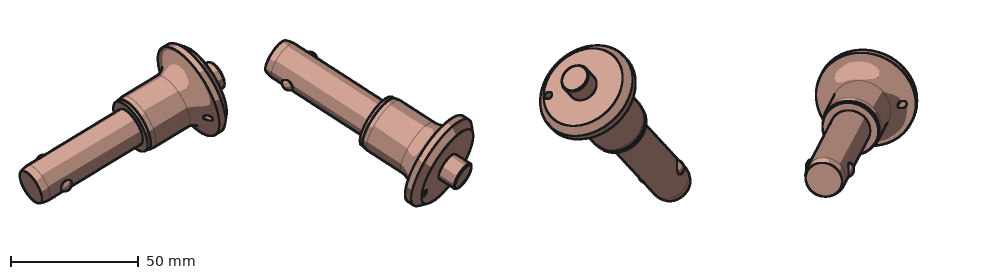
import cadquery as cq

length = 91.2

button_radius = 5.8
button_chamfer = 0.4

handle_start = 7.75
flange_diameter = 40.0
flange_radius = flange_diameter / 2
flange_chamfer = 2.9
flange_end = 13.7
body_radius = 11.8
flare_radius = flange_radius - body_radius
flare_end = flange_end + flare_radius
taper_start = 38.6
taper_end = 40.8
taper_end_radius = 11.4
collar_radius = 11.2
handle_end = 42.2

shank_radius = 8.0
tip_length = 3.4
tip_start = length - tip_length
tip_radius = 7.3
tip_bulge = 0.2
tip_middle = (tip_radius + shank_radius) / 2 + tip_bulge

ball_radius = 3.1
ball_reach = 9.6
ball_position = length - 11.4

hole_radius = 1.55
hole_offset = 15.05


def make_pin():
    """Revolve the button, handle and shank in one half-profile."""
    flare_corner = flare_radius * (1 - 0.5 ** 0.5)
    profile = (
        cq.Workplane("XY")
        .moveTo(0, 0)
        .lineTo(button_radius - button_chamfer, 0)
        .lineTo(button_radius, -button_chamfer)
        .lineTo(button_radius, -handle_start)
        .lineTo(flange_radius - flange_chamfer, -handle_start)
        .lineTo(flange_radius, -handle_start - flange_chamfer)
        .lineTo(flange_radius, -flange_end)
        .threePointArc(
            (body_radius + flare_corner, -flange_end - flare_corner),
            (body_radius, -flare_end),
        )
        .lineTo(body_radius, -taper_start)
        .lineTo(taper_end_radius, -taper_end)
        .lineTo(collar_radius, -taper_end)
        .lineTo(collar_radius, -handle_end)
        .lineTo(shank_radius, -handle_end)
        .lineTo(shank_radius, -tip_start)
        .threePointArc((tip_middle, -tip_start - tip_length / 2), (tip_radius, -length))
        .lineTo(0, -length)
        .close()
    )
    return profile.revolve(360, (0, 0, 0), (0, 1, 0))


def make_ball(side):
    """Locking ball on the +X (side = 1) or -X (side = -1) flank."""
    center_x = side * (ball_reach - ball_radius)
    return cq.Workplane("XY").sphere(ball_radius).translate((center_x, -ball_position, 0))


def make_lanyard_hole():
    """Cylinder parallel to the pin that clears the flange and its flare."""
    return (
        cq.Workplane("XZ", origin=(hole_offset, 0, 0))
        .circle(hole_radius)
        .extrude(handle_end)
    )


result = make_pin().cut(make_lanyard_hole())
for side in (-1, 1):
    result = result.union(make_ball(side))